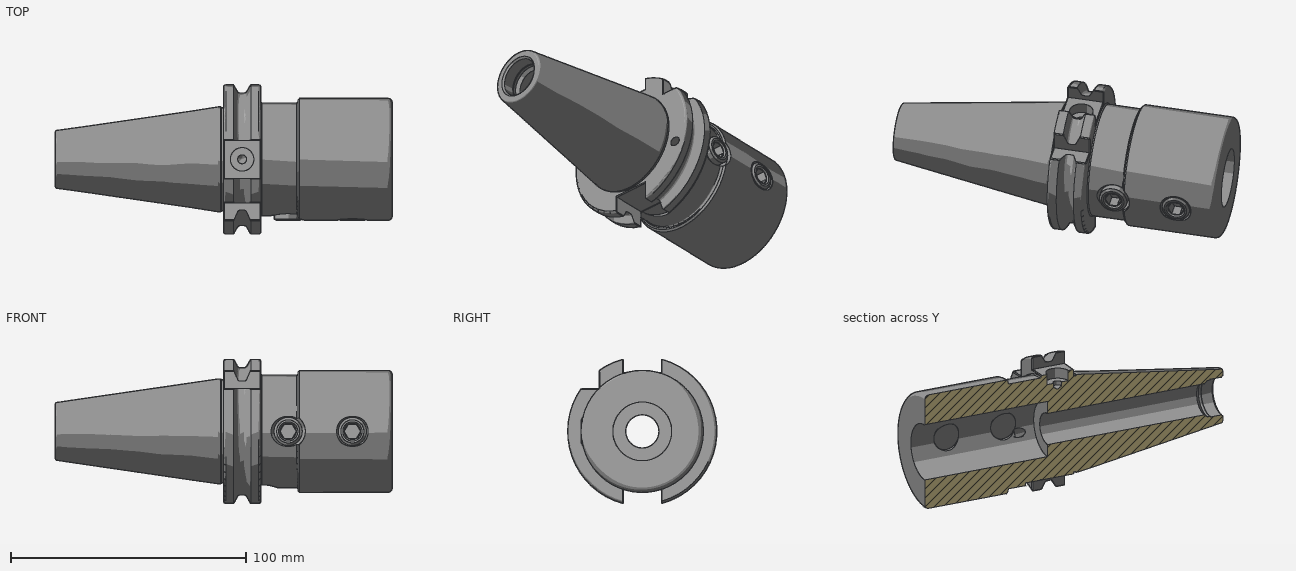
import cadquery as cq
import math


GAUGE_RADIUS = 44.45 / 2
TAPER_LENGTH = 68.4
TAPER_RATIO = 7 / 24
SMALL_RADIUS = GAUGE_RADIUS - TAPER_LENGTH * TAPER_RATIO / 2
SMALL_END_FILLET = 1.0
BAND_START = 1.0
BAND_END = 2.0
BAND_RADIUS = GAUGE_RADIUS + BAND_START * TAPER_RATIO / 2
RELIEF_DEPTH = 0.4

FLANGE_RADIUS = 63.55 / 2
FLANGE_START = 3.2
FLANGE_END = 19.1
FLANGE_WIDTH = FLANGE_END - FLANGE_START
FLANGE_FILLET = 1.0
EDGE_BEVEL = 0.4

GROOVE_CENTRE = 11.1
GROOVE_FLOOR_RADIUS = 28.25
GROOVE_FLOOR_FILLET = 1.2
GROOVE_MOUTH = 7.2
GROOVE_HALF_ANGLE = 30
GROOVE_SLOPE = math.tan(math.radians(GROOVE_HALF_ANGLE))
GROOVE_FLOOR = GROOVE_MOUTH - 2 * (FLANGE_RADIUS - GROOVE_FLOOR_RADIUS) * GROOVE_SLOPE
GROOVE_EDGE_CHAMFER = 0.3

SLOT_WIDTH = 16.1
TOP_SLOT_FLOOR = 25.0
BOTTOM_SLOT_FLOOR = 22.8
BOTTOM_SLOT_END_CENTRE = 18.25
NOTCH_WALL = 18.5
NOTCH_FLOOR = 18.2

CHIP_CENTRE = GROOVE_CENTRE
CHIP_RADIUS = 5.0
CHIP_DEPTH = 4.6
CHIP_DRILL_RADIUS = 1.9
CHIP_DRILL_DEPTH = 3.0
DRILL_TIP_HALF_ANGLE = 59

COOLANT_RADIUS = 2.0
COOLANT_CIRCLE_RADIUS = 27.0
COOLANT_POLAR_ANGLE = 20
COOLANT_TILT = 35

COLLAR_RADIUS = 24.0
COLLAR_ROOT_FILLET = 0.5
BODY_RADIUS = 26.0
BODY_START = 34.8
BODY_END = 75.0
BODY_REAR_CHAMFER = 0.8
BODY_FRONT_FILLET = 2.0

THREAD_BORE_RADIUS = 7.0
COUNTERBORE_RADIUS = 8.5
COUNTERBORE_DEPTH = 6.0
COUNTERBORE_CHAMFER = 0.8
RECESS_RADIUS = 8.2
RECESS_LENGTH = 1.2
THREAD_LEAD_IN = 1.5
TOOL_BORE_RADIUS = 12.5
TOOL_BORE_DEPTH = 59.0

REAR_SCREW_X = 30.7
FRONT_SCREW_X = 58.0
SCREW_RADIUS = 6.0
SCREW_FACE_RADIUS = 4.9
SCREW_END_CHAMFER = 0.6
SOCKET_WIDTH = 6.0
SOCKET_DEPTH = 6.0
SOCKET_MOUTH_RADIUS = 4.1
REAR_MOUTH_RADIUS = 7.3
REAR_MOUTH_Y = 24.0
FRONT_MOUTH_RADIUS = 6.7
FRONT_MOUTH_Y = 25.5


def revolve_about_x(profile):
    """Revolve a closed (x, radius) profile about the tool axis."""
    return profile.close().revolve(360, (0, 0, 0), (1, 0, 0))


def shank_blank():
    relief_radius = BAND_RADIUS - RELIEF_DEPTH
    shank = revolve_about_x(
        cq.Workplane("XZ")
        .moveTo(-TAPER_LENGTH, 0)
        .lineTo(-TAPER_LENGTH, SMALL_RADIUS)
        .lineTo(BAND_START, BAND_RADIUS)
        .lineTo(BAND_END, BAND_RADIUS)
        .lineTo(BAND_END + RELIEF_DEPTH, relief_radius)
        .lineTo(FLANGE_START, relief_radius)
        .lineTo(FLANGE_START, 0)
    )
    return shank.faces("<X").edges().fillet(SMALL_END_FILLET)


def body_blank():
    """Collar and clamping body, with small root radii at both ends of the collar."""
    root_radius = COLLAR_RADIUS + COLLAR_ROOT_FILLET
    root_bulge = COLLAR_ROOT_FILLET * (1 - math.sqrt(0.5))
    root_mid_radius = COLLAR_RADIUS + root_bulge
    return revolve_about_x(
        cq.Workplane("XZ")
        .moveTo(FLANGE_END, 0)
        .lineTo(FLANGE_END, root_radius)
        .threePointArc(
            (FLANGE_END + root_bulge, root_mid_radius),
            (FLANGE_END + COLLAR_ROOT_FILLET, COLLAR_RADIUS),
        )
        .lineTo(BODY_START - COLLAR_ROOT_FILLET, COLLAR_RADIUS)
        .threePointArc((BODY_START - root_bulge, root_mid_radius), (BODY_START, root_radius))
        .lineTo(BODY_START, BODY_RADIUS - BODY_REAR_CHAMFER)
        .lineTo(BODY_START + BODY_REAR_CHAMFER, BODY_RADIUS)
        .lineTo(BODY_END, BODY_RADIUS)
        .lineTo(BODY_END, 0)
    ).faces(">X").edges().fillet(BODY_FRONT_FILLET)


def v_groove():
    half_floor = GROOVE_FLOOR / 2
    half_mouth = GROOVE_MOUTH / 2
    half_lip = half_mouth + GROOVE_EDGE_CHAMFER / 2
    lip_radius = FLANGE_RADIUS - GROOVE_EDGE_CHAMFER
    half_lip_floor = half_mouth - GROOVE_EDGE_CHAMFER * GROOVE_SLOPE
    groove = revolve_about_x(
        cq.Workplane("XZ")
        .moveTo(GROOVE_CENTRE - half_floor, GROOVE_FLOOR_RADIUS)
        .lineTo(GROOVE_CENTRE - half_lip_floor, lip_radius)
        .lineTo(GROOVE_CENTRE - half_lip, FLANGE_RADIUS)
        .lineTo(GROOVE_CENTRE + half_lip, FLANGE_RADIUS)
        .lineTo(GROOVE_CENTRE + half_lip_floor, lip_radius)
        .lineTo(GROOVE_CENTRE + half_floor, GROOVE_FLOOR_RADIUS)
    )
    floor_edges = cq.selectors.RadiusNthSelector(0)
    return groove.edges(floor_edges).fillet(GROOVE_FLOOR_FILLET)


def bevelled_cut(y_min, y_max, z_min, z_max):
    """Box cutter through the flange along X, flared at both flange faces to bevel the edges."""
    centre = ((y_min + y_max) / 2, (z_min + z_max) / 2)
    width = y_max - y_min
    height = z_max - z_min
    cutter = cq.Workplane("YZ", origin=(FLANGE_START, 0, 0)).center(*centre).rect(width, height)
    cutter = cutter.extrude(FLANGE_WIDTH)
    for face_x, direction in ((FLANGE_START, 1), (FLANGE_END, -1)):
        flare = (
            cq.Workplane("YZ", origin=(face_x, 0, 0))
            .center(*centre)
            .rect(width + 2 * EDGE_BEVEL, height + 2 * EDGE_BEVEL)
            .workplane(offset=direction * EDGE_BEVEL)
            .rect(width, height)
            .loft(ruled=True)
        )
        cutter = cutter.union(flare)
    return cutter


def rim_distance(offset):
    """Distance along Y or Z at which a wall at this offset meets the flange rim."""
    return math.sqrt(FLANGE_RADIUS**2 - offset**2)


def corner_bevel(y, z):
    """Bar along X, turned 45 degrees, that breaks the corner of a wall at (y, z) on the flange rim."""
    return (
        cq.Workplane("YZ", origin=(FLANGE_START, y, z))
        .polygon(4, 2 * EDGE_BEVEL)
        .extrude(FLANGE_WIDTH)
    )


def flange():
    blank = revolve_about_x(
        cq.Workplane("XZ")
        .moveTo(FLANGE_START, 0)
        .lineTo(FLANGE_START, FLANGE_RADIUS)
        .lineTo(FLANGE_END, FLANGE_RADIUS)
        .lineTo(FLANGE_END, 0)
    )
    blank = blank.edges("%CIRCLE").fillet(FLANGE_FILLET)
    blank = blank.cut(v_groove())
    half_slot = SLOT_WIDTH / 2
    top_slot = bevelled_cut(-half_slot, half_slot, TOP_SLOT_FLOOR, FLANGE_RADIUS)
    bottom_slot = bevelled_cut(-half_slot, half_slot, -FLANGE_RADIUS, -BOTTOM_SLOT_FLOOR)
    notch = bevelled_cut(-FLANGE_RADIUS, -NOTCH_WALL, NOTCH_FLOOR, FLANGE_RADIUS)
    slot_corner_z = rim_distance(half_slot)
    corners = [(side * half_slot, end * slot_corner_z) for side in (1, -1) for end in (1, -1)]
    corners.append((-NOTCH_WALL, rim_distance(NOTCH_WALL)))
    corners.append((-rim_distance(NOTCH_FLOOR), NOTCH_FLOOR))
    for y, z in corners:
        blank = blank.cut(corner_bevel(y, z))
    return blank.cut(top_slot).cut(bottom_slot).cut(notch)


def bottom_slot_run_out():
    """Round end of the bottom slot, running out into the collar."""
    return (
        cq.Workplane("XY", origin=(BOTTOM_SLOT_END_CENTRE, 0, -FLANGE_RADIUS))
        .circle(SLOT_WIDTH / 2)
        .extrude(FLANGE_RADIUS - BOTTOM_SLOT_FLOOR)
    )


def axial_bore():
    counterbore_end = COUNTERBORE_DEPTH - TAPER_LENGTH
    recess_start = counterbore_end + COUNTERBORE_RADIUS - RECESS_RADIUS
    recess_end = recess_start + RECESS_LENGTH
    lead_in_end = recess_end + THREAD_LEAD_IN
    tool_bore_start = BODY_END - TOOL_BORE_DEPTH
    return revolve_about_x(
        cq.Workplane("XZ")
        .moveTo(-TAPER_LENGTH, 0)
        .lineTo(-TAPER_LENGTH, COUNTERBORE_RADIUS + COUNTERBORE_CHAMFER)
        .lineTo(COUNTERBORE_CHAMFER - TAPER_LENGTH, COUNTERBORE_RADIUS)
        .lineTo(counterbore_end, COUNTERBORE_RADIUS)
        .lineTo(recess_start, RECESS_RADIUS)
        .lineTo(recess_end, RECESS_RADIUS)
        .lineTo(lead_in_end, THREAD_BORE_RADIUS)
        .lineTo(tool_bore_start, THREAD_BORE_RADIUS)
        .lineTo(tool_bore_start, TOOL_BORE_RADIUS)
        .lineTo(BODY_END, TOOL_BORE_RADIUS)
        .lineTo(BODY_END, 0)
    )


def chip_pocket():
    """Flat pocket with a smaller drilled hole in its floor, ending in a drill point."""
    floor_z = TOP_SLOT_FLOOR - CHIP_DEPTH
    tip_z = floor_z - CHIP_DRILL_DEPTH
    tip_height = CHIP_DRILL_RADIUS / math.tan(math.radians(DRILL_TIP_HALF_ANGLE))
    return (
        cq.Workplane("XZ")
        .moveTo(CHIP_CENTRE, TOP_SLOT_FLOOR)
        .lineTo(CHIP_CENTRE + CHIP_RADIUS, TOP_SLOT_FLOOR)
        .lineTo(CHIP_CENTRE + CHIP_RADIUS, floor_z)
        .lineTo(CHIP_CENTRE + CHIP_DRILL_RADIUS, floor_z)
        .lineTo(CHIP_CENTRE + CHIP_DRILL_RADIUS, tip_z + tip_height)
        .lineTo(CHIP_CENTRE, tip_z)
        .close()
        .revolve(360, (CHIP_CENTRE, 0, 0), (CHIP_CENTRE, 1, 0))
    )


def coolant_holes():
    """Two opposite holes from the rear flange face, slanting inwards to the tool bore."""
    tilt = math.radians(COOLANT_TILT)
    slope = cq.Vector(math.cos(tilt), -math.sin(tilt), 0)
    entry = cq.Vector(FLANGE_START, COOLANT_CIRCLE_RADIUS, 0)
    overrun = COOLANT_RADIUS * math.tan(tilt)
    depth = (COOLANT_CIRCLE_RADIUS - TOOL_BORE_RADIUS) / math.sin(tilt) + overrun
    hole = cq.Solid.makeCylinder(COOLANT_RADIUS, overrun + depth, entry - slope * overrun, slope)
    hole = cq.Workplane(hole).rotate((0, 0, 0), (1, 0, 0), COOLANT_POLAR_ANGLE)
    return hole.union(hole.rotate((0, 0, 0), (1, 0, 0), 180))


def screw_hole(x, mouth_radius, mouth_y):
    """Screw hole along Y into the bore: a cylindrical mouth above a 45 degree countersink."""
    countersink_bottom = mouth_radius - SCREW_RADIUS - mouth_y
    return (
        cq.Workplane("XY")
        .moveTo(x, 0)
        .lineTo(x + SCREW_RADIUS, 0)
        .lineTo(x + SCREW_RADIUS, countersink_bottom)
        .lineTo(x + mouth_radius, -mouth_y)
        .lineTo(x + mouth_radius, -FLANGE_RADIUS)
        .lineTo(x, -FLANGE_RADIUS)
        .close()
        .revolve(360, (x, 0, 0), (x, 1, 0))
    )


def make_holder():
    holder = shank_blank().union(flange()).union(body_blank())
    holder = holder.cut(bottom_slot_run_out()).cut(axial_bore())
    holder = holder.cut(chip_pocket()).cut(coolant_holes())
    holder = holder.cut(screw_hole(REAR_SCREW_X, REAR_MOUTH_RADIUS, REAR_MOUTH_Y))
    return holder.cut(screw_hole(FRONT_SCREW_X, FRONT_MOUTH_RADIUS, FRONT_MOUTH_Y))


def make_clamp_screw(x):
    """Set screw from the bore surface out to the body radius, with a hexagon socket."""
    socket_corner_radius = SOCKET_WIDTH / 2 / math.cos(math.radians(30))
    socket_mouth_depth = SOCKET_MOUTH_RADIUS - socket_corner_radius
    outer_end = cq.Workplane("XZ", origin=(x, -BODY_RADIUS, 0))
    shank = (
        cq.Workplane("XY")
        .moveTo(x, -TOOL_BORE_RADIUS)
        .lineTo(x + SCREW_RADIUS, -TOOL_BORE_RADIUS)
        .lineTo(x + SCREW_RADIUS, SCREW_END_CHAMFER - BODY_RADIUS)
        .lineTo(x + SCREW_FACE_RADIUS, -BODY_RADIUS)
        .lineTo(x, -BODY_RADIUS)
        .close()
        .revolve(360, (x, 0, 0), (x, 1, 0))
    )
    socket = outer_end.polygon(6, 2 * socket_corner_radius).extrude(-SOCKET_DEPTH)
    mouth = outer_end.circle(SOCKET_MOUTH_RADIUS)
    mouth = mouth.workplane(offset=-socket_mouth_depth).circle(socket_corner_radius).loft()
    return shank.cut(socket).cut(mouth)


holder = make_holder()
clamp_screws = [make_clamp_screw(x) for x in (REAR_SCREW_X, FRONT_SCREW_X)]

result = cq.Compound.makeCompound([body.solids().val() for body in (holder, *clamp_screws)])